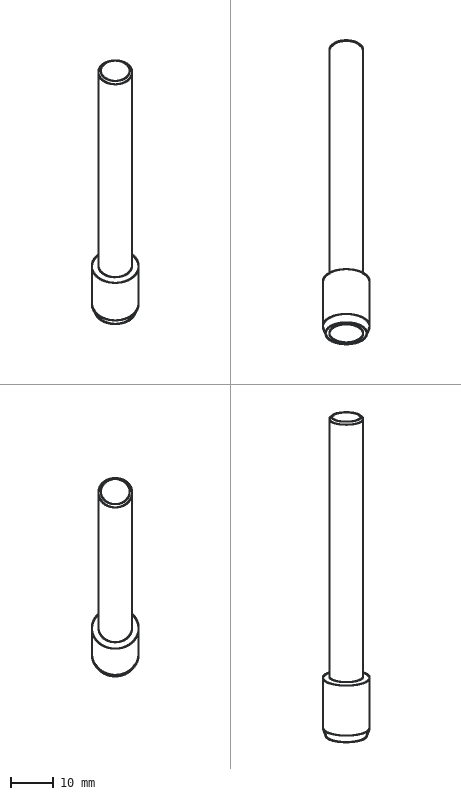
import cadquery as cq

total_length = 80.2
pin_radius = 4.0
pin_tip_chamfer = 0.6

sleeve_radius = 5.57
sleeve_shoulder_height = 14.5
sleeve_crown_rise = 0.3
sleeve_taper_height = 1.9
sleeve_bottom_radius = 4.9


def make_pin():
    """Round pin running the full length, chamfered at its upper end."""
    pin = cq.Workplane("XY").circle(pin_radius).extrude(total_length)
    return pin.faces(">Z").chamfer(pin_tip_chamfer)


def make_sleeve():
    """Turned sleeve with a through bore that fits the pin."""
    half_section = (
        cq.Workplane("XZ")
        .moveTo(pin_radius, 0)
        .lineTo(sleeve_bottom_radius, 0)
        .lineTo(sleeve_radius, sleeve_taper_height)
        .lineTo(sleeve_radius, sleeve_shoulder_height)
        .lineTo(pin_radius, sleeve_shoulder_height + sleeve_crown_rise)
        .close()
    )
    return half_section.revolve(360, (0, 0, 0), (0, 1, 0))


pin = make_pin()
sleeve = make_sleeve()

result = cq.Compound.makeCompound([pin.val(), sleeve.val()])